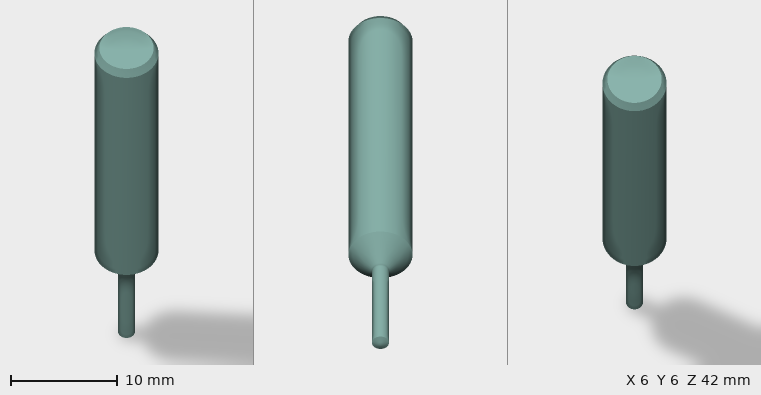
import cadquery as cq
import math

total_length = 42.0
shank_diameter = 6.0
tip_diameter = 1.6
tip_length = 10.05
point_angle = 140.0
taper_angle = 45.0
chamfer_height = 0.75
chamfer_width = 0.45

shank_radius = shank_diameter / 2
tip_radius = tip_diameter / 2
point_height = tip_radius / math.tan(math.radians(point_angle / 2))
taper_height = (shank_radius - tip_radius) / math.tan(math.radians(taper_angle))


def revolve_profile(points):
    """Revolve a closed (radius, height) outline about the Z axis."""
    profile = cq.Workplane("XZ").polyline(points).close()
    return profile.revolve(360, (0, 0, 0), (0, 1, 0))


def make_shank():
    """Cylindrical shank with a chamfered top and a cone narrowing to the tip."""
    return revolve_profile([
        (0, tip_length),
        (tip_radius, tip_length),
        (shank_radius, tip_length + taper_height),
        (shank_radius, total_length - chamfer_height),
        (shank_radius - chamfer_width, total_length),
        (0, total_length),
    ])


def make_tip():
    """Slim round tip with a conical point, butted against the shank cone."""
    return revolve_profile([
        (0, 0),
        (tip_radius, point_height),
        (tip_radius, tip_length),
        (0, tip_length),
    ])


shank = make_shank()
tip = make_tip()

result = cq.Compound.makeCompound([shank.val(), tip.val()])